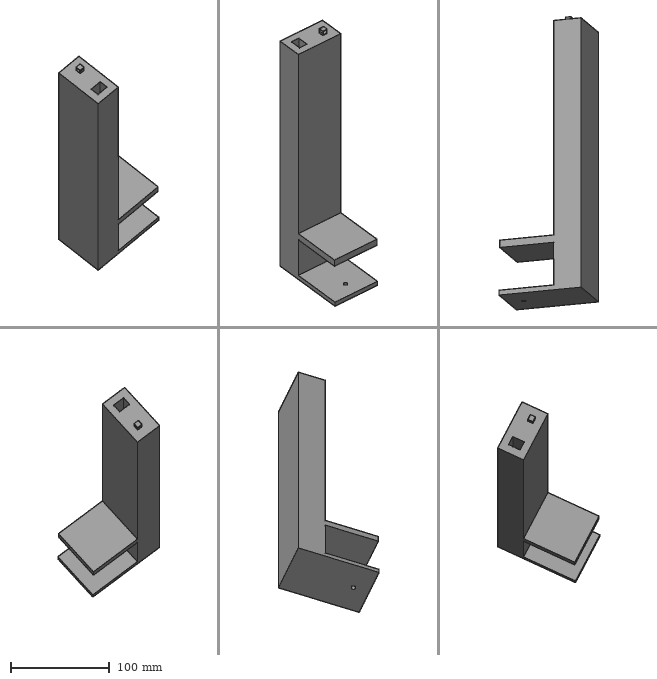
import cadquery as cq

width = 55.8
total_depth = 88.0
total_height = 290.5

body_depth = 29.3
lug_height = 5.5
body_height = total_height - lug_height

base_thickness = 5.2
base_hole_diameter = 4.5
base_hole_from_back = 17.0
shelf_thickness = 7.8
shelf_bottom = 50.3
shelf_setback = 1.0

lug_side = 5.8
lug_from_left = 13.5
lug_from_front = 17.5
eye_diameter = 4.5

pocket_width = 9.5
pocket_length = 13.0
pocket_depth = 29
pocket_from_left = 42.7
pocket_from_front = 14.8

left = -width / 2


def block(x_size, y_size, z_size, x_center, y_start, z_start):
    """Box centred on x_center that grows toward +Y and +Z from its start."""
    return (
        cq.Workplane("XY")
        .box(x_size, y_size, z_size, centered=(True, False, False))
        .translate((x_center, y_start, z_start))
    )


def make_lug():
    lug_front = lug_from_front - lug_side / 2
    lug = block(lug_side, lug_side, lug_height, left + lug_from_left, lug_front, body_height)
    return lug.faces("<Y").workplane(centerOption="CenterOfBoundBox").hole(eye_diameter)


def make_base_hole():
    return (
        cq.Workplane("XY")
        .center(0, total_depth - base_hole_from_back)
        .circle(base_hole_diameter / 2)
        .extrude(base_thickness)
    )


def make_pocket():
    return block(
        pocket_width,
        pocket_length,
        pocket_depth,
        left + pocket_from_left,
        pocket_from_front - pocket_length / 2,
        body_height - pocket_depth,
    )


body = block(width, body_depth, body_height, 0, 0, 0)
base = block(width, total_depth, base_thickness, 0, 0, 0)
shelf = block(width, total_depth - shelf_setback, shelf_thickness, 0, 0, shelf_bottom)

result = body.union(base).union(shelf).union(make_lug())
result = result.cut(make_base_hole()).cut(make_pocket())